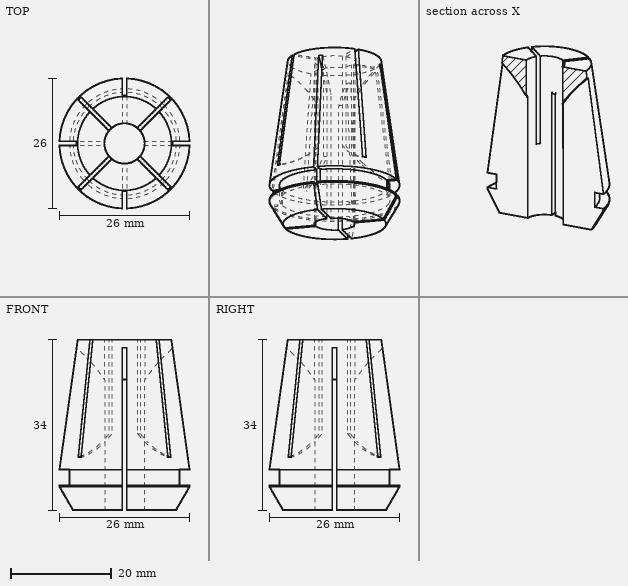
import cadquery as cq
import math


length = 34.0
max_radius = 13.0
bore_radius = 4.0

rim_bottom_z = 4.7
rim_top_z = 5.0
taper_bottom_z = 8.1
groove_radius = 11.0
nose_angle = 30.0
taper_angle = 8.0

nose_radius = max_radius - rim_bottom_z * math.tan(math.radians(nose_angle))
top_radius = max_radius - (length - taper_bottom_z) * math.tan(math.radians(taper_angle))

slots_per_end = 4
slot_width = 0.8
lower_saw_radius = 30.0
lower_saw_center_r = 29.1
lower_saw_center_z = 9.6
upper_saw_radius = 21.0
upper_saw_center_r = 18.15
upper_saw_center_z = 30.8

slot_inner_r = bore_radius - 1.0
slot_outer_r = max_radius + 1.0
end_clearance = 1.0


def make_body():
    """Revolved outline with the through bore."""
    return (
        cq.Workplane("XZ")
        .moveTo(bore_radius, 0)
        .lineTo(nose_radius, 0)
        .lineTo(max_radius, rim_bottom_z)
        .lineTo(max_radius, rim_top_z)
        .lineTo(groove_radius, rim_top_z)
        .lineTo(groove_radius, taper_bottom_z)
        .lineTo(max_radius, taper_bottom_z)
        .lineTo(top_radius, length)
        .lineTo(bore_radius, length)
        .close()
        .revolve(360, (0, 0, 0), (0, 1, 0))
    )


def make_slot(radius, center_r, center_z, arc_side, open_z):
    """Slot along +X, from open_z to the saw arc; arc_side is +1 above the saw center, -1 below."""

    def arc_point(r):
        rise = math.sqrt(radius**2 - (r - center_r) ** 2)
        return (r, center_z + arc_side * rise)

    middle_r = (slot_inner_r + slot_outer_r) / 2
    return (
        cq.Workplane("XZ")
        .moveTo(slot_inner_r, open_z)
        .lineTo(*arc_point(slot_inner_r))
        .threePointArc(arc_point(middle_r), arc_point(slot_outer_r))
        .lineTo(slot_outer_r, open_z)
        .close()
        .extrude(slot_width / 2, both=True)
    )


def cut_around(body, slot, first_angle):
    """Cut a ring of evenly spaced slots."""
    for i in range(slots_per_end):
        angle = first_angle + i * 360 / slots_per_end
        body = body.cut(slot.rotate((0, 0, 0), (0, 0, 1), angle))
    return body


lower_slot = make_slot(
    lower_saw_radius, lower_saw_center_r, lower_saw_center_z, 1, -end_clearance
)
upper_slot = make_slot(
    upper_saw_radius, upper_saw_center_r, upper_saw_center_z, -1, length + end_clearance
)
half_pitch = 180 / slots_per_end

result = make_body()
result = cut_around(result, lower_slot, 0)
result = cut_around(result, upper_slot, half_pitch)